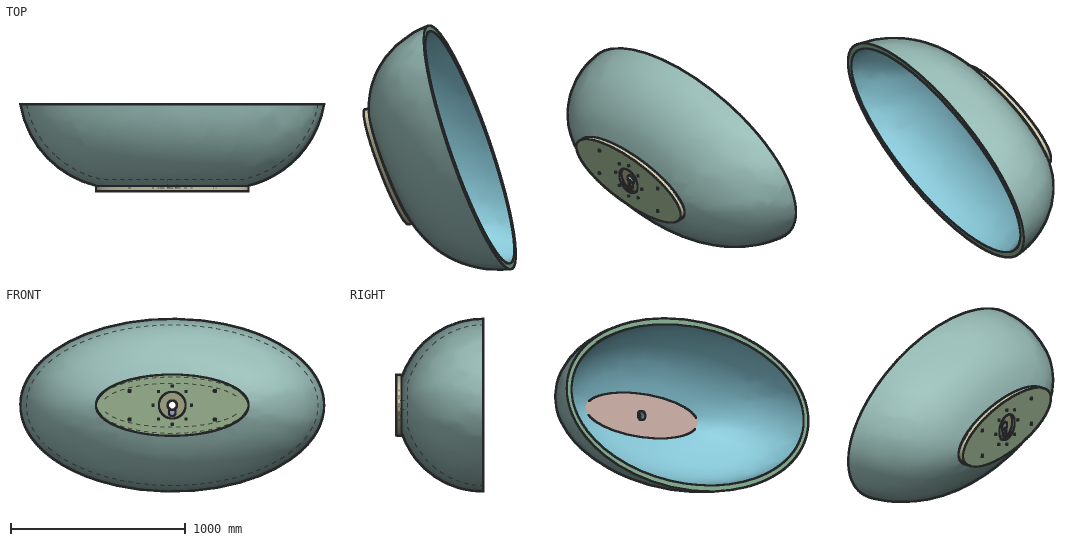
import cadquery as cq
import math

rim_half_x = 870.0
rim_half_z = 495.0
total_depth = 500.0
foot_height = 31.0
foot_half_x = 437.0
foot_half_z = 175.0
wall = 35.0

rim_y = total_depth / 2
base_y = -total_depth / 2
bowl_depth = total_depth - foot_height
section_count = 9

profile_center_rise = 95.0
profile_center_x = (
    rim_half_x**2 + profile_center_rise**2
    - foot_half_x**2 - (bowl_depth + profile_center_rise) ** 2
) / (2 * (rim_half_x - foot_half_x))
profile_radius = math.hypot(rim_half_x - profile_center_x, profile_center_rise)

recess_diameter = 153.0
recess_depth = 17.0
drain_diameter = 52.0
channel_width = 38.0
channel_end_z = -63.0
channel_depth = 10.0
small_hole_diameter = 7.0
small_hole_circle = 220.0
small_hole_diagonal = 78.0
large_hole_diameter = 12.0
large_hole_x = 244.0
large_hole_z = 82.0
screw_hole_depth = 17.0


def half_x_at(depth):
    """Half width of the outer bowl at a depth below the rim."""
    return profile_center_x + math.sqrt(profile_radius**2 - (depth + profile_center_rise) ** 2)


def half_z_at(depth):
    """Half height of the outer bowl: a circular profile around the rim plane."""
    return math.sqrt(rim_half_z**2 - depth**2)


def cylinder_from_base(x, z, diameter, depth):
    """Cylinder going from the underside into the part, along +Y."""
    return cq.Workplane("XY").add(
        cq.Solid.makeCylinder(diameter / 2, depth, cq.Vector(x, base_y, z), cq.Vector(0, 1, 0))
    )


def bowl(inset, depth):
    """Solid of stacked ellipses, inset from the outer bowl, reaching down to a depth."""
    wires = []
    for index in range(section_count):
        section_depth = depth * math.sin(math.pi / 2 * index / (section_count - 1))
        outer_depth = section_depth * bowl_depth / depth
        wires.append(
            cq.Wire.makeEllipse(
                half_x_at(outer_depth) - inset,
                half_z_at(outer_depth) - inset,
                cq.Vector(0, rim_y - section_depth, 0),
                cq.Vector(0, -1, 0),
                cq.Vector(1, 0, 0),
            )
        )
    return cq.Workplane("XY").add(cq.Solid.makeLoft(wires))


foot = (
    cq.Workplane("XZ", origin=(0, base_y, 0))
    .ellipse(foot_half_x, foot_half_z)
    .extrude(-foot_height)
)

result = bowl(0, bowl_depth).union(foot).cut(bowl(wall, bowl_depth - wall))

result = result.cut(cylinder_from_base(0, 0, recess_diameter, recess_depth))
result = result.cut(cylinder_from_base(0, 0, drain_diameter, total_depth))

channel_bottom = cylinder_from_base(
    0, channel_end_z + channel_width / 2, channel_width, recess_depth + channel_depth
)
channel_length = -channel_end_z - channel_width / 2
channel_body = cq.Workplane("XY").box(
    channel_width, recess_depth + channel_depth, channel_length, centered=(True, False, False)
).translate((0, base_y, -channel_length))
result = result.cut(channel_bottom).cut(channel_body)

ring = small_hole_circle / 2
diagonal = small_hole_diagonal
ring_points = [(ring, 0), (-ring, 0), (0, ring), (0, -ring)]
ring_points += [(sx * diagonal, sz * diagonal) for sx in (-1, 1) for sz in (-1, 1)]
for x, z in ring_points:
    result = result.cut(cylinder_from_base(x, z, small_hole_diameter, screw_hole_depth))

for side_x in (-1, 1):
    for side_z in (-1, 1):
        result = result.cut(
            cylinder_from_base(
                side_x * large_hole_x, side_z * large_hole_z, large_hole_diameter, screw_hole_depth
            )
        )